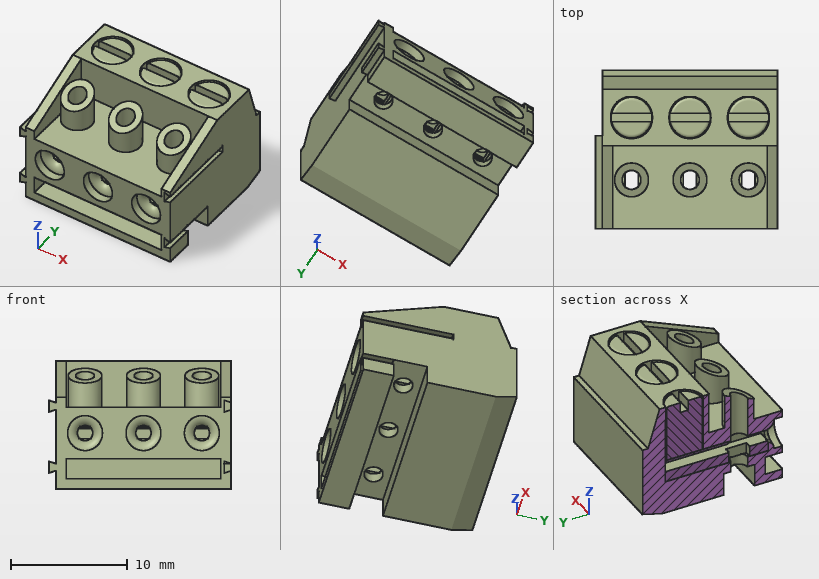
import cadquery as cq

TOTAL_WIDTH = 15.6
TONGUE_DEPTH = 0.6
BODY_WIDTH = TOTAL_WIDTH - TONGUE_DEPTH
DEPTH = 13.6
HEIGHT = 11.0

POLE_COUNT = 3
POLE_PITCH = BODY_WIDTH / POLE_COUNT
POLE_X = [POLE_PITCH * (index + 0.5) for index in range(POLE_COUNT)]

NOTCH_FRONT = 2.7
NOTCH_BACK = 5.68
NOTCH_TOP = 2.2
BOTTOM_CHAMFER_DEPTH = 1.87
BOTTOM_CHAMFER_HEIGHT = 0.56
BACK_LEDGE_HEIGHT = 7.25
BACK_LEDGE_DEPTH = 0.53
TOP_BACK = 11.95
TOP_FRONT = 7.13
FRONT_HEIGHT = 7.9

WALL = 0.9
FLOOR_HEIGHT = 7.0

TUBE_Y = 4.2
TUBE_DIAMETER = 2.9
TUBE_BORE = 1.6

WIRE_Z = 4.8
WIRE_DIAMETER = 3.0
WIRE_STRAIGHT_DEPTH = 0.8
THROAT_DIAMETER = 1.31
CHAMBER_FRONT = 1.42

FRONT_SLOT_BOTTOM = 0.9
FRONT_SLOT_TOP = 2.62
FRONT_SLOT_DEPTH = 1.64

DOVETAIL_NECK = 0.62
DOVETAIL_WIDTH = 1.01
UPPER_DOVETAIL = (7.11, 7.99)
LOWER_DOVETAIL = (1.89, NOTCH_FRONT)

SCREW_Y = 9.53
SCREW_DIAMETER = 3.5
SCREW_HOLE_DIAMETER = 3.6
SCREW_EDGE_RADIUS = 0.3
SCREW_SLOT_WIDTH = 0.73
SCREW_SLOT_DEPTH = 1.0

CHAMBER_WIDTH = 2.5
CHAMBER_BACK = SCREW_Y + SCREW_HOLE_DIAMETER / 2
CHAMBER_BOTTOM = 3.28
CHAMBER_TOP = 5.4
CONTACT_TOP = 4.3
CONTACT_SLOT_WIDTH = 1.1
CONTACT_SLOT_LENGTH = 2.0
GUARD_CLEARANCE = 0.3
GUARD_FRONT = TUBE_Y + TUBE_BORE / 2 + GUARD_CLEARANCE
GUARD_BOTTOM = 5.16
GUARD_TIP_HEIGHT = 5.25
GUARD_LOWER_BEVEL = 0.05
GUARD_UPPER_BEVEL = 0.02


def box(x_range, y_range, z_range):
    """Box between the given limits along each axis."""
    sizes = [high - low for low, high in (x_range, y_range, z_range)]
    return cq.Workplane("XY").box(*sizes, centered=False).translate((x_range[0], y_range[0], z_range[0]))


def extruded_along_x(outline, width):
    """Prism from X = 0 with the given (Y, Z) outline."""
    return cq.Workplane("YZ").polyline(outline).close().extrude(width)


def upright_cylinder(x, y, diameter, bottom, top):
    return cq.Workplane("XY", origin=(x, y, bottom)).circle(diameter / 2).extrude(top - bottom)


def housing_block():
    outline = [
        (0, 0),
        (NOTCH_FRONT, 0),
        (NOTCH_FRONT, NOTCH_TOP),
        (NOTCH_BACK, NOTCH_TOP),
        (NOTCH_BACK, 0),
        (DEPTH - BOTTOM_CHAMFER_DEPTH, 0),
        (DEPTH, BOTTOM_CHAMFER_HEIGHT),
        (DEPTH, BACK_LEDGE_HEIGHT),
        (DEPTH - BACK_LEDGE_DEPTH, BACK_LEDGE_HEIGHT),
        (TOP_BACK, HEIGHT),
        (TOP_FRONT, HEIGHT),
        (0, FRONT_HEIGHT),
    ]
    return extruded_along_x(outline, BODY_WIDTH)


def recess():
    return box((WALL, BODY_WIDTH - WALL), (0, TOP_FRONT), (FLOOR_HEIGHT, HEIGHT))


def tube(x):
    """Tube blank whose top lies in the plane of the sloped side walls."""
    under_slope = extruded_along_x(
        [(0, FLOOR_HEIGHT), (TOP_FRONT, FLOOR_HEIGHT), (TOP_FRONT, HEIGHT), (0, FRONT_HEIGHT)], BODY_WIDTH
    )
    return upright_cylinder(x, TUBE_Y, TUBE_DIAMETER, FLOOR_HEIGHT, HEIGHT).intersect(under_slope)


def wire_entry(x):
    """Round entry that narrows over a convex lip to the throat of the clamping chamber."""
    outer = WIRE_DIAMETER / 2
    throat = THROAT_DIAMETER / 2
    lip_width = outer - throat
    lip_depth = CHAMBER_FRONT - WIRE_STRAIGHT_DEPTH
    lip_radius = (lip_width ** 2 + lip_depth ** 2) / (2 * lip_depth)
    return (
        cq.Workplane("XY")
        .lineTo(outer, 0)
        .lineTo(outer, WIRE_STRAIGHT_DEPTH)
        .radiusArc((throat, CHAMBER_FRONT), lip_radius)
        .lineTo(0, CHAMBER_FRONT)
        .close()
        .revolve(360, (0, 0, 0), (0, 1, 0))
        .translate((x, 0, WIRE_Z))
    )


def chamber(x):
    half = CHAMBER_WIDTH / 2
    return box((x - half, x + half), (CHAMBER_FRONT, CHAMBER_BACK), (CHAMBER_BOTTOM, CHAMBER_TOP))


def dovetail(wall_x, centre_z, length):
    """Dovetail bar with its neck on the plane X = wall_x, widening toward -X."""
    outline = [
        (wall_x, centre_z - DOVETAIL_NECK / 2),
        (wall_x, centre_z + DOVETAIL_NECK / 2),
        (wall_x - TONGUE_DEPTH, centre_z + DOVETAIL_WIDTH / 2),
        (wall_x - TONGUE_DEPTH, centre_z - DOVETAIL_WIDTH / 2),
    ]
    return cq.Workplane("XZ").polyline(outline).close().extrude(-length)


def make_housing():
    body = housing_block().cut(recess())
    body = body.cut(
        box((WALL, BODY_WIDTH - WALL), (0, FRONT_SLOT_DEPTH), (FRONT_SLOT_BOTTOM, FRONT_SLOT_TOP))
    )
    for centre_z, length in (UPPER_DOVETAIL, LOWER_DOVETAIL):
        body = body.union(dovetail(0, centre_z, length))
        body = body.cut(dovetail(BODY_WIDTH, centre_z, length))
    for x in POLE_X:
        body = body.union(tube(x))
        body = body.cut(upright_cylinder(x, TUBE_Y, TUBE_BORE, 0, HEIGHT))
        body = body.cut(wire_entry(x))
        body = body.cut(chamber(x))
        body = body.cut(upright_cylinder(x, SCREW_Y, SCREW_HOLE_DIAMETER, CHAMBER_TOP, HEIGHT))
    return body


def make_screw(x):
    """Slotted screw with a rounded top edge, flush with the housing and resting on the wire guard."""
    screw = upright_cylinder(x, SCREW_Y, SCREW_DIAMETER, CHAMBER_TOP, HEIGHT)
    screw = screw.faces(">Z").edges().fillet(SCREW_EDGE_RADIUS)
    slot = box(
        (x - SCREW_DIAMETER, x + SCREW_DIAMETER),
        (SCREW_Y - SCREW_SLOT_WIDTH / 2, SCREW_Y + SCREW_SLOT_WIDTH / 2),
        (HEIGHT - SCREW_SLOT_DEPTH, HEIGHT),
    )
    return screw.cut(slot)


def make_contact(x):
    """Bar on the chamber floor, with a slot below the test tube."""
    half = CHAMBER_WIDTH / 2
    bar = box((x - half, x + half), (CHAMBER_FRONT, CHAMBER_BACK), (CHAMBER_BOTTOM, CONTACT_TOP))
    slot = box(
        (x - CONTACT_SLOT_WIDTH / 2, x + CONTACT_SLOT_WIDTH / 2),
        (TUBE_Y - CONTACT_SLOT_LENGTH / 2, TUBE_Y + CONTACT_SLOT_LENGTH / 2),
        (CHAMBER_BOTTOM, CONTACT_TOP),
    )
    return bar.cut(slot)


def make_wire_guard(x):
    """Plate under the screw with a pointed front edge."""
    outline = [
        (GUARD_FRONT, GUARD_TIP_HEIGHT),
        (GUARD_FRONT + GUARD_LOWER_BEVEL, GUARD_BOTTOM),
        (CHAMBER_BACK, GUARD_BOTTOM),
        (CHAMBER_BACK, CHAMBER_TOP),
        (GUARD_FRONT + GUARD_UPPER_BEVEL, CHAMBER_TOP),
    ]
    return extruded_along_x(outline, CHAMBER_WIDTH).translate((x - CHAMBER_WIDTH / 2, 0, 0))


housing = make_housing()
screws = [make_screw(x) for x in POLE_X]
contacts = [make_contact(x) for x in POLE_X]
wire_guards = [make_wire_guard(x) for x in POLE_X]

result = cq.Compound.makeCompound([body.val() for body in [housing, *screws, *contacts, *wire_guards]])